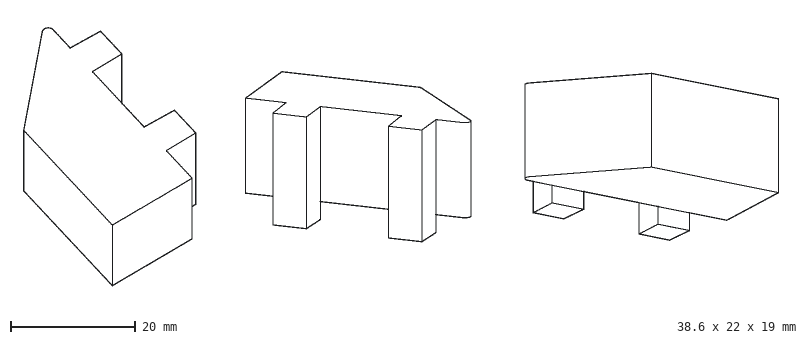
import cadquery as cq

body_length = 40.0
body_depth = 16.0
body_height = 16.0
tip_radius = 1.0

tab_width = 6.0
tab_length = 6.0
tab_drop = 3.0
tab_height = body_height + tab_drop
tab_spacing = 20.0
tab_draft_angle = 1.0

back_left_x = -body_length / 2
right_x = body_length / 2
front_left_x = back_left_x + body_depth


def make_body():
    """Prism with its back face on Y = 0 and a rounded tip at the back left."""
    outline = [
        (back_left_x, 0),
        (right_x, 0),
        (right_x, -body_depth),
        (front_left_x, -body_depth),
    ]
    prism = cq.Workplane("XY").polyline(outline).close().extrude(body_height)
    return prism.edges("|Z and <X").fillet(tip_radius)


def make_tab(center_x):
    """Drafted tab, flush with the body top at its root and hanging below the body."""
    center_z = body_height - tab_height / 2
    root = cq.Workplane("XZ", origin=(center_x, 0, center_z)).rect(tab_width, tab_height)
    return root.extrude(-tab_length, taper=tab_draft_angle)


result = make_body()
for center_x in (-tab_spacing / 2, tab_spacing / 2):
    result = result.union(make_tab(center_x))